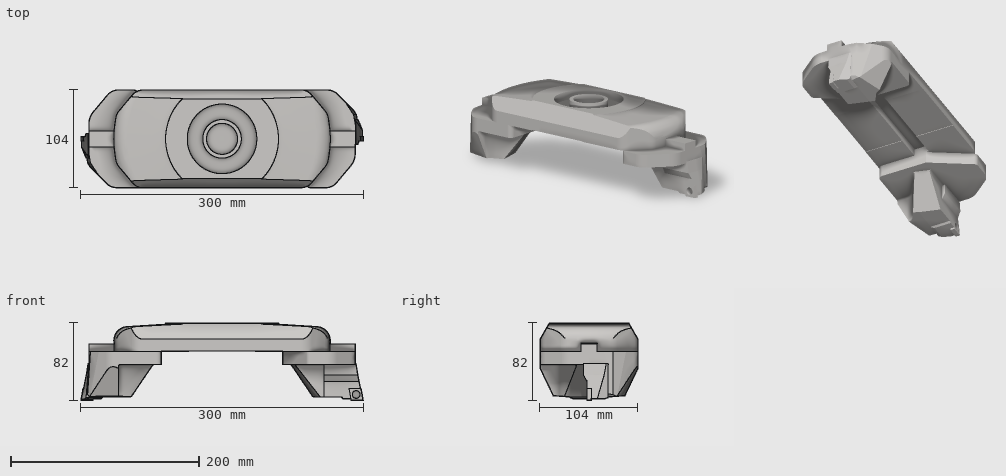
import cadquery as cq
import math


CLEAR = 400.0
MARGIN = 10.0

half_width = 52.0
key_width = 17.0
key_height = 8.0
corner_radius = 15.0
insert_thickness = 4.76
corner_angle = 50.0

bridge_height = 30.0
bridge_end_radius = 115.0
bridge_corner_x = 90.7
bridge_side_height = 13.0
bevel_angle = 30.0
pad_diameter = 120.0
pad_height = 1.0
cone_angle = 3.6
rim_radius = 15.0
recess_diameter = 74.0
recess_depth = 9.0
boss_diameter = 41.0
bore_diameter = 33.0
relief_half_length = 35.5
relief_depth = 0.5
slot_height = key_height + 1.0

slide_inner_x = 64.3
slide_outer_x = 141.5
plate_thickness = 14.0
plate_end_radius = 20.0
inner_corner_radius = 5.0
outer_corner_y = 23.0
inner_cut_angle = 60.0
inner_cut_x = 91.3
flank_start_x = 118.1
flank_radius = 16.0

leg_bottom_z = -48.4
leg_outer_x = 147.0
leg_front_y = -insert_thickness / 2
leg_pocket_x = 110.2
leg_pocket_y = 34.2
leg_pocket_angle = 30.0
leg_pocket_radius = 10.0
leg_root_fillet = 2.0
leg_slant_point = (73.3, 13.0, -plate_thickness)
leg_slant_yaw = 15.0
leg_slant_angle = 38.0
side_slope_point = (leg_pocket_x, half_width, -18.0)
side_slope_angle = 25.8
side_slope_yaw = 15.0
bottom_relief_angle = 4.5
ridge_point = (139.7, 25.7, 0.0)
ridge_tilt = 3.8
front_facet_yaw = 9.9
rear_facet_yaw = 33.5
lower_end_point = (142.9, 0.0, -45.7)

cartridge_inner_x = 108.0
cartridge_outer_x = 150.0
cartridge_top_z = -12.6
cartridge_back_y = 20.3
cartridge_upper_y = -5.9
step_top_z = -25.0
step_bottom_z = -31.8
foot_bottom_z = -50.2
foot_start_x = 126.5
foot_bevel_y = 17.0
foot_bevel_height = 1.1
nose_top_x = 142.3
nose_upper_angle = 9.0
nose_lower_angle = 11.3
nose_relief_point = (149.0, 9.5, foot_bottom_z)
nose_relief_yaw = 22.6
nose_relief_tilt = 4.6

insert_tip_x = 149.98
insert_bottom_z = -52.0
insert_height = 12.7
insert_angle = 80.0
insert_hole_diameter = 8.2
insert_side = insert_height / math.sin(math.radians(insert_angle))
insert_lean = insert_height / math.tan(math.radians(insert_angle))


def tan(degrees):
    return math.tan(math.radians(degrees))


def beyond(point, normal):
    """Large block filling the space past a plane, on the side the normal points to."""
    plane = cq.Plane(origin=point, normal=normal)
    return cq.Workplane(plane).rect(CLEAR, CLEAR).extrude(CLEAR)


def prism(points, bottom, top):
    """Plan outline raised from one height to another."""
    return cq.Workplane("XY").workplane(offset=bottom).polyline(points).close().extrude(top - bottom)


def block(x_range, y_range, z_range):
    """Box given by its limits along each axis."""
    sizes = [high - low for low, high in (x_range, y_range, z_range)]
    corner = (x_range[0], y_range[0], z_range[0])
    return cq.Workplane("XY").box(*sizes, centered=False).translate(corner)


def round_corner(body, x, y, radius):
    """Round the upright edge nearest to a plan position."""
    middle_z = body.val().BoundingBox().center.z
    nearest = cq.selectors.NearestToPointSelector((x, y, middle_z))
    return body.edges("|Z").edges(nearest).fillet(radius)


def bridge_plan_prism():
    """Long body with cut corners and ends rounded about the centre, corners blended."""
    far_x = bridge_corner_x + half_width / tan(corner_angle)
    points = [
        (far_x, 0),
        (bridge_corner_x, half_width),
        (-bridge_corner_x, half_width),
        (-far_x, 0),
        (-bridge_corner_x, -half_width),
        (bridge_corner_x, -half_width),
    ]
    ends = cq.Workplane("XY").circle(bridge_end_radius).extrude(bridge_height)
    return prism(points, 0, bridge_height).intersect(ends).edges("|Z").fillet(corner_radius)


def bridge_dome():
    """Turned envelope: flat pad, shallow cone and rounded rim."""
    pad_radius = pad_diameter / 2
    cone_start_z = bridge_height - pad_height
    arc_x = bridge_end_radius - rim_radius
    cone_end_x = arc_x + rim_radius * math.sin(math.radians(cone_angle))
    cone_end_z = cone_start_z - (cone_end_x - pad_radius) * tan(cone_angle)
    arc_z = cone_end_z - rim_radius * math.cos(math.radians(cone_angle))
    middle_angle = math.radians((90 - cone_angle) / 2)
    arc_middle = (arc_x + rim_radius * math.cos(middle_angle), arc_z + rim_radius * math.sin(middle_angle))
    profile = (
        cq.Workplane("XZ")
        .lineTo(bridge_end_radius, 0)
        .lineTo(bridge_end_radius, arc_z)
        .threePointArc(arc_middle, (cone_end_x, cone_end_z))
        .lineTo(pad_radius, cone_start_z)
        .lineTo(pad_radius, bridge_height)
        .lineTo(0, bridge_height)
        .close()
    )
    return profile.revolve(360, (0, 0, 0), (0, 1, 0))


def build_bridge():
    bridge = bridge_plan_prism().intersect(bridge_dome())
    for side in (1, -1):
        bridge = bridge.cut(beyond((0, side * half_width, bridge_side_height), (0, side, tan(bevel_angle))))

    recess = (
        cq.Workplane("XY")
        .workplane(offset=bridge_height - recess_depth)
        .circle(recess_diameter / 2)
        .circle(boss_diameter / 2)
        .extrude(recess_depth)
    )
    bore = (
        cq.Workplane("XY")
        .workplane(offset=bridge_height - recess_depth)
        .circle(bore_diameter / 2)
        .extrude(recess_depth)
    )
    relief = block((-relief_half_length, relief_half_length), (-half_width, half_width), (0, relief_depth))
    slot = block(
        (-bridge_end_radius, bridge_end_radius), (-key_width / 2, key_width / 2), (0, slot_height)
    )
    return bridge.cut(recess).cut(bore).cut(relief).cut(slot)


def slide_plate():
    """Flat plate under the bridge, with all corners of its outline cut and rounded."""
    flank_end_y = half_width - (slide_outer_x - flank_start_x)
    corner_x = slide_outer_x - (half_width - outer_corner_y) / tan(corner_angle)
    inner_cut_y = -half_width + (inner_cut_x - slide_inner_x) * tan(inner_cut_angle)
    points = [
        (slide_inner_x, half_width),
        (flank_start_x, half_width),
        (slide_outer_x, flank_end_y),
        (slide_outer_x, -outer_corner_y),
        (corner_x, -half_width),
        (inner_cut_x, -half_width),
        (slide_inner_x, inner_cut_y),
    ]
    plate = prism(points, -plate_thickness, 0)
    plate = round_corner(plate, slide_inner_x, half_width, inner_corner_radius)
    plate = round_corner(plate, flank_start_x, half_width, flank_radius)
    plate = round_corner(plate, slide_outer_x, -outer_corner_y, plate_end_radius)
    plate = round_corner(plate, corner_x, -half_width, corner_radius)
    return round_corner(plate, inner_cut_x, -half_width, inner_corner_radius)


def leg_side_pocket():
    """Space beside the leg on +Y, rounded where its walls meet each other and the plate."""
    near_x = slide_inner_x - MARGIN
    near_y = leg_pocket_y - (leg_pocket_x - near_x) * tan(leg_pocket_angle)
    far_y = half_width + MARGIN
    points = [(near_x, near_y), (leg_pocket_x, leg_pocket_y), (leg_pocket_x, far_y), (near_x, far_y)]
    pocket = prism(points, -CLEAR, -plate_thickness)
    pocket = round_corner(pocket, leg_pocket_x, leg_pocket_y, leg_pocket_radius)
    return pocket.faces(">Z").edges(">X").fillet(leg_root_fillet)


def leg_front_pocket():
    """Space in front of the leg on -Y, rounded where its wall meets the plate."""
    pocket = block(
        (slide_inner_x - MARGIN, cartridge_inner_x), (-half_width, leg_front_y), (-CLEAR, -plate_thickness)
    )
    return pocket.faces(">Z").edges(">Y").fillet(leg_root_fillet)


def slide_leg():
    """Leg hanging below the plate, slanted at the back, +Y side and bottom."""
    flank_end_y = half_width - (leg_outer_x - flank_start_x)
    points = [
        (slide_inner_x, half_width),
        (flank_start_x, half_width),
        (leg_outer_x, flank_end_y),
        (leg_outer_x, cartridge_back_y),
        (cartridge_inner_x, cartridge_back_y),
        (cartridge_inner_x, leg_front_y - leg_root_fillet),
        (slide_inner_x, leg_front_y - leg_root_fillet),
    ]
    leg = prism(points, leg_bottom_z, -plate_thickness)
    leg = round_corner(leg, flank_start_x, half_width, flank_radius)
    leg = leg.cut(leg_side_pocket()).cut(leg_front_pocket())
    leg = leg.cut(beyond(leg_slant_point, (-1, -tan(leg_slant_yaw), -tan(leg_slant_angle))))
    leg = leg.cut(beyond(side_slope_point, (tan(side_slope_yaw), 1, -tan(side_slope_angle))))
    leg = leg.cut(beyond(lower_end_point, (1, 0, -1)))
    return leg.cut(beyond((0, cartridge_back_y, leg_bottom_z), (0, tan(bottom_relief_angle), -1)))


def build_slide():
    slide = slide_plate().union(slide_leg())
    for yaw in (front_facet_yaw, rear_facet_yaw):
        slide = slide.cut(beyond(ridge_point, (1, tan(yaw), tan(ridge_tilt))))
    seat = block(
        (cartridge_inner_x, cartridge_outer_x),
        (cartridge_upper_y, cartridge_back_y),
        (foot_bottom_z, cartridge_top_z),
    )
    key = block((slide_inner_x, slide_outer_x), (-key_width / 2, key_width / 2), (0, key_height))
    return slide.cut(seat).union(key)


def insert_blank():
    """Rhombic plate that fills the insert seat."""
    top_z = insert_bottom_z + insert_height
    points = [
        (insert_tip_x, insert_bottom_z),
        (insert_tip_x - insert_side, insert_bottom_z),
        (insert_tip_x - insert_side - insert_lean, top_z),
        (insert_tip_x - insert_lean, top_z),
    ]
    outline = cq.Workplane("XZ").workplane(offset=-insert_thickness / 2).polyline(points).close()
    return outline.extrude(insert_thickness)


def build_insert():
    hole = (
        cq.Workplane("XZ")
        .workplane(offset=-insert_thickness / 2)
        .center(insert_tip_x - (insert_side + insert_lean) / 2, insert_bottom_z + insert_height / 2)
        .circle(insert_hole_diameter / 2)
        .extrude(insert_thickness)
    )
    return insert_blank().cut(hole)


def build_cartridge():
    section = [
        (cartridge_upper_y, cartridge_top_z),
        (cartridge_upper_y, step_top_z),
        (leg_front_y, step_bottom_z),
        (leg_front_y, foot_bottom_z),
        (foot_bevel_y, foot_bottom_z),
        (cartridge_back_y, foot_bottom_z + foot_bevel_height),
        (cartridge_back_y, cartridge_top_z),
    ]
    cartridge = (
        cq.Workplane("YZ")
        .workplane(offset=cartridge_inner_x)
        .polyline(section)
        .close()
        .extrude(cartridge_outer_x - cartridge_inner_x)
    )

    foot_height = leg_bottom_z - foot_bottom_z
    under_foot = (
        cq.Workplane("XZ")
        .workplane(offset=-CLEAR / 2)
        .moveTo(cartridge_inner_x, leg_bottom_z)
        .lineTo(foot_start_x, leg_bottom_z)
        .lineTo(foot_start_x + foot_height, foot_bottom_z)
        .lineTo(cartridge_inner_x, foot_bottom_z)
        .close()
        .extrude(CLEAR)
    )
    nose_middle_x = nose_top_x + (cartridge_top_z - step_top_z) * tan(nose_upper_angle)
    cartridge = cartridge.cut(under_foot)
    upper_nose = beyond((nose_top_x, 0, cartridge_top_z), (1, 0, tan(nose_upper_angle)))
    lower_nose = beyond((nose_middle_x, 0, step_top_z), (1, 0, tan(nose_lower_angle)))
    above_step = block((0, CLEAR), (-CLEAR, CLEAR), (step_top_z, CLEAR))
    cartridge = cartridge.cut(upper_nose.intersect(above_step)).cut(lower_nose.cut(above_step))
    cartridge = cartridge.cut(beyond(nose_relief_point, (1, tan(nose_relief_yaw), tan(nose_relief_tilt))))
    return cartridge.cut(insert_blank())


bodies = build_bridge().solids().vals()
for part in (build_slide(), build_cartridge(), build_insert()):
    for turn in (0, 180):
        bodies.extend(part.rotate((0, 0, 0), (0, 0, 1), turn).solids().vals())

result = cq.Compound.makeCompound(bodies)